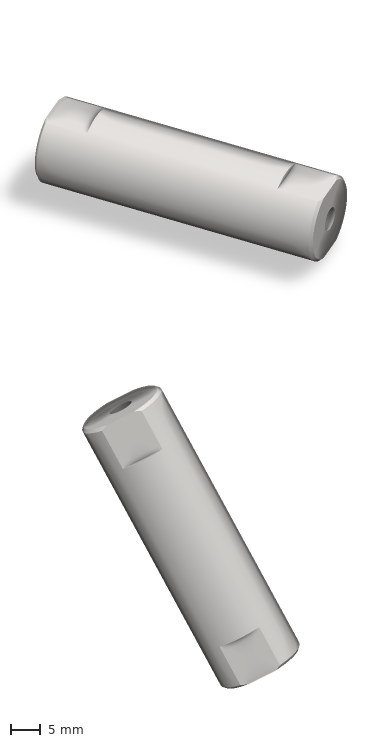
import cadquery as cq

length = 51.0
diameter = 15.0
end_chamfer = 0.5
bore_diameter = 4.2

across_flats = 13.0
flat_length = 8.0


def make_bar():
    """Chamfered cylinder with a through bore, centred on the origin."""
    end_plane = cq.Workplane("YZ", origin=(-length / 2, 0, 0))
    bar = end_plane.circle(diameter / 2).extrude(length)
    bar = bar.faces("<X or >X").chamfer(end_chamfer)
    bore = end_plane.circle(bore_diameter / 2).extrude(length)
    return bar.cut(bore)


def flat_cutter(end, side):
    """Block that cuts one flat; end is the X sign and side the Z sign."""
    block = cq.Workplane("XY").box(flat_length, diameter, diameter)
    center_x = end * (length - flat_length) / 2
    center_z = side * (across_flats + diameter) / 2
    return block.translate((center_x, 0, center_z))


result = make_bar()
for end in (-1, 1):
    for side in (-1, 1):
        result = result.cut(flat_cutter(end, side))